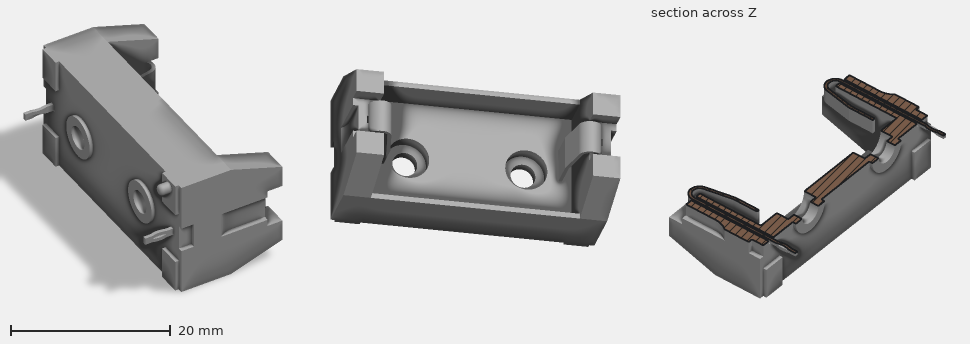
import cadquery as cq
import math


LENGTH = 33.93
WIDTH = 16.52
END_HEIGHT = 14.73
SIDE_HEIGHT = 7.25
END_TOP_WIDTH = 11.57
END_WALL = 3.53
SIDE_WALL = 0.68
FLOOR = 2.7

NOTCH_WIDTH = 5.5
NOTCH_DEPTH = 2.15
RECESS_WIDTH = 3.55
RECESS_DEPTH = 0.7
RECESS_BOTTOM = 5.77
RECESS_RADIUS = 3.12
POCKET_DEPTH = 0.65
POCKET_HEIGHT = 1.83

STANDOFF = 0.5
PAD_INSET = 0.65
PAD_LENGTH = 3.22
PAD_WIDTH = 4.55
HOLE_SPACING = 15.2
HOLE_DIAMETER = 3.2
BOSS_DIAMETER = 5.77
COUNTERBORE_DIAMETER = 5.43
COUNTERBORE_BOTTOM = 0.85
PEG_DIAMETER = 1.5
PEG_LENGTH = 1.53
PEG_ROUNDING = 0.48
PEG_TOP_OFFSET = 1.15

STRIP = 0.48
TAIL_INSET = 2.25
TAIL_WIDTH = 1.0
TAIL_LENGTH = 4.07
SLOT_LENGTH = 0.88
BOW_START = 1.0
BOW_LENGTH = 2.05
BOW_RISE = 0.17
SPRING_WIDTH = 4.25
HOOK_RADIUS = 1.45
ARM_TILT = 11.0
ARM_BEND_HEIGHT = 8.62
ARM_END_HEIGHT = 4.75

END_X = LENGTH / 2
TOP_Z = WIDTH / 2
NOTCH_FLOOR = END_HEIGHT - NOTCH_DEPTH
TAIL_X = END_X - TAIL_INSET


def block(x_range, y_range, z_range):
    """Box spanning the given (low, high) pairs."""
    sizes = [high - low for low, high in (x_range, y_range, z_range)]
    corner = cq.Vector(x_range[0], y_range[0], z_range[0])
    return cq.Workplane(cq.Solid.makeBox(*sizes, corner))


def rod(diameter, x, z, y_low, y_high):
    """Cylinder along Y."""
    start = cq.Vector(x, y_low, z)
    return cq.Workplane(cq.Solid.makeCylinder(diameter / 2, y_high - y_low, start, cq.Vector(0, 1, 0)))


def across(size):
    """Range of the given size centred on zero."""
    return (-size / 2, size / 2)


def mirrored(shape):
    """The same shape at the opposite end of the housing."""
    return shape.mirror("YZ")


def shell():
    """End profile run along the full length, opened into a trough between the end walls."""
    body = (
        cq.Workplane("YZ")
        .polyline([
            (0, -TOP_Z),
            (SIDE_HEIGHT, -TOP_Z),
            (END_HEIGHT, -END_TOP_WIDTH / 2),
            (END_HEIGHT, END_TOP_WIDTH / 2),
            (SIDE_HEIGHT, TOP_Z),
            (0, TOP_Z),
        ])
        .close()
        .extrude(LENGTH / 2, both=True)
    )
    inner_length = across(LENGTH - 2 * END_WALL)
    body = body.cut(block(inner_length, (SIDE_HEIGHT, END_HEIGHT), across(WIDTH)))
    return body.cut(block(inner_length, (FLOOR, END_HEIGHT), across(WIDTH - 2 * SIDE_WALL)))


def end_recess():
    """Outer recess of the +X end wall: flat floor that runs out to the end face in an arc."""
    floor_x = END_X - RECESS_DEPTH
    sweep = math.acos(1 - RECESS_DEPTH / RECESS_RADIUS)
    arc_top = RECESS_BOTTOM + RECESS_RADIUS * math.sin(sweep)
    arc_middle = (
        floor_x + RECESS_RADIUS * (1 - math.cos(sweep / 2)),
        arc_top - RECESS_RADIUS * math.sin(sweep / 2),
    )
    return (
        cq.Workplane("XY")
        .moveTo(END_X, RECESS_BOTTOM)
        .threePointArc(arc_middle, (floor_x, arc_top))
        .lineTo(floor_x, NOTCH_FLOOR)
        .lineTo(END_X, NOTCH_FLOOR)
        .close()
        .extrude(RECESS_WIDTH / 2, both=True)
    )


def end_cuts():
    """Everything removed from the +X end wall."""
    notch = block((END_X - END_WALL, END_X), (NOTCH_FLOOR, END_HEIGHT), across(NOTCH_WIDTH))
    pocket = block((END_X - POCKET_DEPTH, END_X), (0, POCKET_HEIGHT), across(RECESS_WIDTH))
    slot_x = (TAIL_X - SLOT_LENGTH / 2, TAIL_X + SLOT_LENGTH / 2)
    tail_slot = block(slot_x, (0, NOTCH_FLOOR), across(TAIL_WIDTH))
    return notch.union(end_recess()).union(pocket).union(tail_slot)


def corner_pads():
    """Two pads at the +X end of the mounting face."""
    outer_x = END_X - PAD_INSET
    pads_x = (outer_x - PAD_LENGTH, outer_x)
    upper = block(pads_x, (-STANDOFF, 0), (TOP_Z - PAD_WIDTH, TOP_Z))
    return upper.union(upper.mirror("XY"))


def locating_peg():
    """Rounded peg on the upper +X pad."""
    peg = rod(PEG_DIAMETER, TAIL_X, TOP_Z - PEG_TOP_OFFSET, -STANDOFF - PEG_LENGTH, 0)
    return peg.faces("<Y").edges().fillet(PEG_ROUNDING)


def make_housing():
    """Trough with pads, peg and holed bosses on its mounting face."""
    body = shell()
    pads = corner_pads()
    cuts = end_cuts()
    body = body.union(pads).union(mirrored(pads)).union(locating_peg())
    body = body.cut(cuts).cut(mirrored(cuts))
    for x in across(HOLE_SPACING):
        body = body.union(rod(BOSS_DIAMETER, x, 0, -STANDOFF, 0))
        body = body.cut(rod(HOLE_DIAMETER, x, 0, -STANDOFF, FLOOR))
        body = body.cut(rod(COUNTERBORE_DIAMETER, x, 0, COUNTERBORE_BOTTOM, FLOOR))
    return body


def spring():
    """Wide part of the +X contact: hook over the end wall and tilted arm inside the trough."""
    inner_radius = HOOK_RADIUS - STRIP
    hook_x = TAIL_X + STRIP / 2 - HOOK_RADIUS
    tilt = math.radians(ARM_TILT)

    def on_hook(radius, angle):
        return (hook_x + radius * math.cos(angle), NOTCH_FLOOR + radius * math.sin(angle))

    hook_end = math.pi - tilt
    outer_end = on_hook(HOOK_RADIUS, hook_end)
    arm_drop = outer_end[1] - ARM_BEND_HEIGHT
    arm_x = outer_end[0] - arm_drop * math.tan(tilt)
    inner_bend_height = ARM_BEND_HEIGHT - STRIP * math.tan(tilt / 2)
    return (
        cq.Workplane("XY")
        .moveTo(*on_hook(HOOK_RADIUS, 0))
        .threePointArc(on_hook(HOOK_RADIUS, hook_end / 2), outer_end)
        .lineTo(arm_x, ARM_BEND_HEIGHT)
        .lineTo(arm_x, ARM_END_HEIGHT)
        .lineTo(arm_x + STRIP, ARM_END_HEIGHT)
        .lineTo(arm_x + STRIP, inner_bend_height)
        .lineTo(*on_hook(inner_radius, hook_end))
        .threePointArc(on_hook(inner_radius, hook_end / 2), on_hook(inner_radius, 0))
        .close()
        .extrude(SPRING_WIDTH / 2, both=True)
    )


def tail_half(bow):
    """One half of the tail's width, z from 0 up, bowed along X by the given amount."""
    bow_top = -BOW_START
    bow_middle = bow_top - BOW_LENGTH / 2
    bow_bottom = bow_top - BOW_LENGTH
    low_x, high_x = TAIL_X - STRIP / 2, TAIL_X + STRIP / 2
    return (
        cq.Workplane("XY")
        .moveTo(low_x, NOTCH_FLOOR)
        .lineTo(low_x, bow_top)
        .threePointArc((low_x + bow, bow_middle), (low_x, bow_bottom))
        .lineTo(low_x, -TAIL_LENGTH)
        .lineTo(high_x, -TAIL_LENGTH)
        .lineTo(high_x, bow_bottom)
        .threePointArc((high_x + bow, bow_middle), (high_x, bow_top))
        .lineTo(high_x, NOTCH_FLOOR)
        .close()
        .extrude(TAIL_WIDTH / 2)
    )


def make_contact(side):
    """Spring plus a split tail whose halves bow apart, at the +X (side 1) or -X (side -1) end."""
    upper = tail_half(-BOW_RISE)
    lower = tail_half(BOW_RISE).mirror("XY")
    contact = spring().union(upper).union(lower)
    return contact if side > 0 else mirrored(contact)


housing = make_housing().solids().val()
contacts = [make_contact(side).solids().val() for side in (-1, 1)]

result = cq.Compound.makeCompound([housing, *contacts])